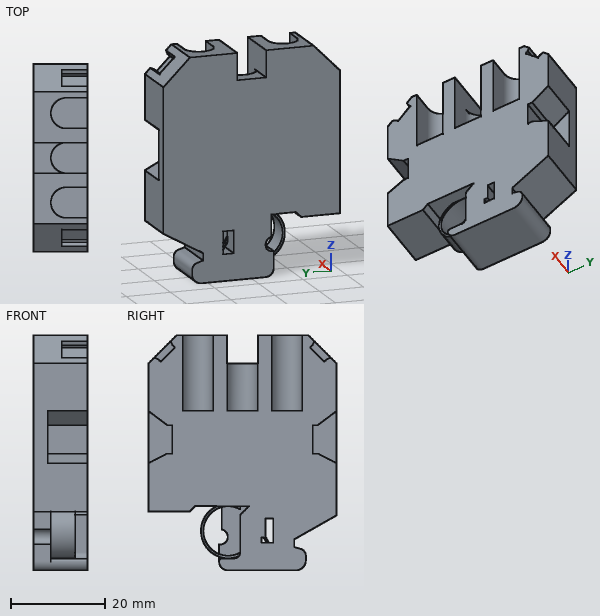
import math

import cadquery as cq

THICKNESS = 11.5
WIDTH = 40.0
HEIGHT = 50.0
HALF_WIDTH = WIDTH / 2

CHAMFER = 6.0
CHAMFER_ANGLE = 45.0
SHOULDER_Z = 12.5
SLOPE_TOP_Z = 11.7
CEILING_Z = 13.7
CEILING_EDGE_Y = -10.0

FOOT_FRONT_Y = -5.0
NECK_FRONT_Y = -4.45
FOOT_BACK_Y = 13.5
HOOK_Y = 11.0
HOOK_TOP_Z = 6.6
HOOK_BOTTOM_Z = 5.0
HOOK_TIP_Z = 4.3
FOOT_FRONT_RADIUS = 1.9
FOOT_BACK_RADIUS = 2.2
HOOK_TIP_RADIUS = 1.6
NOTCH_RADIUS = 1.6
NOTCH_Y = -4.75
NOTCH_Z = 7.15

PLATE_THICKNESS = 3.65
CAVITY_FLOOR_Z = 2.55
CAVITY_WALL_Y = -0.5
CAVITY_FILLET = 1.3
CAVITY_WALL_TOP_Z = 11.8
LIP_RADIUS = CAVITY_FLOOR_Z - FOOT_FRONT_RADIUS

SPRING_END_X = 8.85
RING_Y = -3.05
RING_Z = 8.4
RING_OUTER_RADIUS = 5.8
RING_THICKNESS = 0.55
LEAF_Y = 4.8
LEAF_Z = 6.9
LEAF_THICKNESS = 0.45
LEAF_LENGTH = 4.2
LEAF_ANGLE = 60.0

WINDOW_FRONT_Y = 4.05
WINDOW_BACK_Y = 6.5
WINDOW_BOTTOM_Z = 5.95
WINDOW_TOP_Z = 11.0
WINDOW_WALL_Y = 4.9
WINDOW_WALL_START_X = 4.2
WINDOW_WALL_BOTTOM_Z = 7.0

WELL_RADIUS = 3.25
WELL_START_X = 3.7
WELL_PITCH = 9.5
TOP_SLOT_DEPTH = 6.0
ENTRY_START_X = 3.0
ENTRY_TOP_Z = 33.9
ENTRY_BOTTOM_Z = 22.8
ENTRY_THROAT_TOP_Z = 30.9
ENTRY_THROAT_BOTTOM_Z = 24.85
ENTRY_TAPER_DEPTH = 4.0
ENTRY_DEPTH = 5.1
WELL_FLOOR_Z = ENTRY_TOP_Z

RECESS_START_X = 6.0
RECESS_LENGTH = 5.0
RECESS_TAPER_DEPTH = 0.85
RECESS_TAPER_RUN = 0.35
RECESS_DEPTH = 1.6


def box(x_range, y_range, z_range):
    """Box between the given limits."""
    size = [high - low for low, high in (x_range, y_range, z_range)]
    corner = (x_range[0], y_range[0], z_range[0])
    return cq.Workplane("XY").box(*size, centered=False).translate(corner)


def prism(points, x_start, x_end):
    """Polygon of (Y, Z) points extruded along X."""
    plane = cq.Workplane("YZ", origin=(x_start, 0, 0))
    return plane.polyline(points).close().extrude(x_end - x_start)


def cylinder(y, z, radius, x_start, x_end):
    """Cylinder lying along X."""
    plane = cq.Workplane("YZ", origin=(x_start, 0, 0))
    return plane.center(y, z).circle(radius).extrude(x_end - x_start)


def round_corner(solid, y, z, radius):
    """Fillet the edge along X whose middle lies nearest to (y, z)."""
    nearest = cq.selectors.NearestToPointSelector((THICKNESS / 2, y, z))
    return solid.edges("|X").edges(nearest).fillet(radius)


def body():
    """Housing and foot as one full-thickness outline."""
    shoulder_run = CEILING_Z - SHOULDER_Z
    outline = [
        (-HALF_WIDTH + CHAMFER, HEIGHT),
        (HALF_WIDTH - CHAMFER, HEIGHT),
        (HALF_WIDTH, HEIGHT - CHAMFER),
        (HALF_WIDTH, SLOPE_TOP_Z),
        (HOOK_Y, HOOK_TOP_Z),
        (HOOK_Y, HOOK_BOTTOM_Z),
        (FOOT_BACK_Y, HOOK_TIP_Z),
        (FOOT_BACK_Y, 0),
        (FOOT_FRONT_Y, 0),
        (FOOT_FRONT_Y, NOTCH_Z),
        (NECK_FRONT_Y, NOTCH_Z),
        (NECK_FRONT_Y, CEILING_Z),
        (CEILING_EDGE_Y, CEILING_Z),
        (CEILING_EDGE_Y - shoulder_run, SHOULDER_Z),
        (-HALF_WIDTH, SHOULDER_Z),
        (-HALF_WIDTH, HEIGHT - CHAMFER),
    ]
    solid = prism(outline, 0, THICKNESS)
    solid = round_corner(solid, FOOT_FRONT_Y, 0, FOOT_FRONT_RADIUS)
    solid = round_corner(solid, FOOT_BACK_Y, 0, FOOT_BACK_RADIUS)
    solid = round_corner(solid, FOOT_BACK_Y, HOOK_TIP_Z, HOOK_TIP_RADIUS)
    return solid.cut(cylinder(NOTCH_Y, NOTCH_Z, NOTCH_RADIUS, 0, THICKNESS))


def foot_cavity():
    """Space for the spring; its floor has a rounded front lip and a filleted rear corner."""
    diagonal = math.sqrt(0.5)
    lip_centre_z = CAVITY_FLOOR_Z - LIP_RADIUS
    lip_middle = (FOOT_FRONT_Y + LIP_RADIUS * (1 - diagonal), lip_centre_z + LIP_RADIUS * diagonal)
    fillet_middle = (
        CAVITY_WALL_Y - CAVITY_FILLET * (1 - diagonal),
        CAVITY_FLOOR_Z + CAVITY_FILLET * (1 - diagonal),
    )
    slope_run = CEILING_Z - CAVITY_WALL_TOP_Z
    profile = (
        cq.Workplane("YZ", origin=(PLATE_THICKNESS, 0, 0))
        .moveTo(FOOT_FRONT_Y, lip_centre_z)
        .threePointArc(lip_middle, (FOOT_FRONT_Y + LIP_RADIUS, CAVITY_FLOOR_Z))
        .lineTo(CAVITY_WALL_Y - CAVITY_FILLET, CAVITY_FLOOR_Z)
        .threePointArc(fillet_middle, (CAVITY_WALL_Y, CAVITY_FLOOR_Z + CAVITY_FILLET))
        .lineTo(CAVITY_WALL_Y, CAVITY_WALL_TOP_Z)
        .lineTo(CAVITY_WALL_Y + slope_run, CEILING_Z)
        .lineTo(FOOT_FRONT_Y, CEILING_Z)
        .close()
    )
    return profile.extrude(THICKNESS - PLATE_THICKNESS)


def foot_window():
    """Rectangular window in the plate, partly covered by the cavity wall behind it."""
    z_range = (WINDOW_BOTTOM_Z, WINDOW_TOP_Z)
    through = box((0, THICKNESS), (WINDOW_FRONT_Y, WINDOW_BACK_Y), z_range)
    wall = box(
        (WINDOW_WALL_START_X, THICKNESS),
        (WINDOW_FRONT_Y, WINDOW_WALL_Y),
        (WINDOW_WALL_BOTTOM_Z, WINDOW_TOP_Z),
    )
    return through.cut(wall)


def spring():
    """Ring in the cavity and the leaf that crosses the lower corner of the window."""
    inner_radius = RING_OUTER_RADIUS - RING_THICKNESS
    ring = cylinder(RING_Y, RING_Z, RING_OUTER_RADIUS, PLATE_THICKNESS, SPRING_END_X)
    ring = ring.cut(cylinder(RING_Y, RING_Z, inner_radius, PLATE_THICKNESS, SPRING_END_X))
    beyond_wall = 2 * RING_OUTER_RADIUS
    ring = ring.cut(
        box((0, THICKNESS), (CAVITY_WALL_Y, CAVITY_WALL_Y + beyond_wall), (0, CEILING_Z))
    )
    leaf_middle = (
        (PLATE_THICKNESS + SPRING_END_X) / 2,
        LEAF_Y,
        LEAF_Z,
    )
    leaf = (
        cq.Workplane("XY")
        .box(SPRING_END_X - PLATE_THICKNESS, LEAF_LENGTH, LEAF_THICKNESS)
        .rotate((0, 0, 0), (1, 0, 0), -LEAF_ANGLE)
        .translate(leaf_middle)
    )
    return ring.union(leaf)


def screw_well(y):
    """Vertical round-ended slot, open at the top and towards +X."""
    centre_x = WELL_START_X + WELL_RADIUS
    height = HEIGHT - WELL_FLOOR_Z
    round_end = cq.Workplane("XY", origin=(centre_x, y, WELL_FLOOR_Z)).circle(WELL_RADIUS).extrude(height)
    straight = box(
        (centre_x, THICKNESS), (y - WELL_RADIUS, y + WELL_RADIUS), (WELL_FLOOR_Z, HEIGHT)
    )
    return round_end.union(straight)


def wire_entry():
    """Tapered wire opening in the -Y end, open towards +X."""
    taper_end_y = -HALF_WIDTH + ENTRY_TAPER_DEPTH
    back_y = -HALF_WIDTH + ENTRY_DEPTH
    outline = [
        (-HALF_WIDTH, ENTRY_BOTTOM_Z),
        (taper_end_y, ENTRY_THROAT_BOTTOM_Z),
        (back_y, ENTRY_THROAT_BOTTOM_Z),
        (back_y, ENTRY_THROAT_TOP_Z),
        (taper_end_y, ENTRY_THROAT_TOP_Z),
        (-HALF_WIDTH, ENTRY_TOP_Z),
    ]
    return prism(outline, ENTRY_START_X, THICKNESS)


def label_recess():
    """Recess centred on the -Y chamfer: its ends taper inwards, then run square to the floor."""
    half_mouth = RECESS_LENGTH / 2
    half_floor = half_mouth - RECESS_TAPER_RUN
    outline = [
        (-half_mouth, 0),
        (-half_floor, -RECESS_TAPER_DEPTH),
        (-half_floor, -RECESS_DEPTH),
        (half_floor, -RECESS_DEPTH),
        (half_floor, -RECESS_TAPER_DEPTH),
        (half_mouth, 0),
    ]
    flat = prism(outline, RECESS_START_X, THICKNESS)
    tilted = flat.rotate((0, 0, 0), (1, 0, 0), CHAMFER_ANGLE)
    return tilted.translate((0, -HALF_WIDTH + CHAMFER / 2, HEIGHT - CHAMFER / 2))


def on_both_ends(cutter):
    """The cutter together with its mirror image at the +Y end."""
    return cutter.union(cutter.mirror("XZ"))


result = body().cut(foot_cavity()).cut(foot_window()).union(spring())
result = result.cut(
    box((0, THICKNESS), (-WELL_RADIUS, WELL_RADIUS), (HEIGHT - TOP_SLOT_DEPTH, HEIGHT))
)
for well_y in (-WELL_PITCH, 0, WELL_PITCH):
    result = result.cut(screw_well(well_y))
result = result.cut(on_both_ends(wire_entry())).cut(on_both_ends(label_recess()))